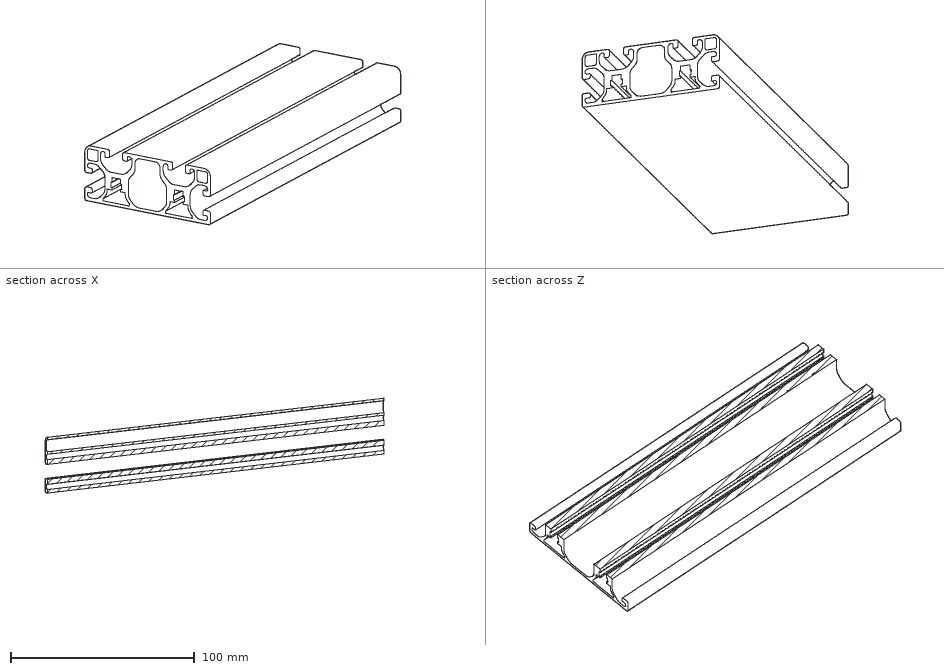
import cadquery as cq
import math

width = 80.0
length = 200.0
height = 32.0
skin = 1.8
top_corner_radius = 4.0
edge_radius = 0.2
bottom_corner_radius = 1.2

slot_mouth = 8.2
slot_inner_width = 20.0
slot_depth = 12.8
lip_depth = 4.8
lip_width = 3.0
lip_radius = 1.2
slot_bevel = 4.8
slot_bevel_radius = 4.5
hook_tip_radius = 0.5
hook_root_radius = 1.0
recess_radius = 1.8
mouth_clearance = 2.0
top_slot_x = 20.0
side_lip_z = 8.0
side_slot_z = side_lip_z + slot_mouth / 2

corner_hollow_size = 6.5
corner_hollow_radius = 1.2

center_top_half_width = 8.0
center_half_width = 12.2
center_bottom_half_width = 7.5
center_shoulder_low_z = 17.5
center_shoulder_high_z = 21.8
center_foot_z = 6.5
center_top_radius = 3.2
center_radius = 5.0

neck_width = 5.5
neck_half_width = neck_width / 2
groove_half_width = 3.5
ledge_half_width = 5.8
base_half_width = 8.5
channel_top_z = 16.2
groove_top_z = 13.5
groove_bottom_z = 10.5
ledge_z = 9.0
flare_z = 6.5
base_edge_z = 3.0
flare_radius = 4.0


def rounded_outline(corners):
    """Closed XZ outline from (x, z, radius) corners, with a tangent arc at each rounded corner."""
    pieces = []
    for i, (x, z, radius) in enumerate(corners):
        corner = cq.Vector(x, z)
        to_last = (cq.Vector(*corners[i - 1][:2]) - corner).normalized()
        to_next = (cq.Vector(*corners[(i + 1) % len(corners)][:2]) - corner).normalized()
        if radius == 0:
            pieces.append((corner, corner, corner))
            continue
        half_angle = to_last.getAngle(to_next) / 2
        setback = radius / math.tan(half_angle)
        bisector = (to_last + to_next).normalized()
        arc_middle = corner + bisector * (radius / math.sin(half_angle) - radius)
        pieces.append((corner + to_last * setback, arc_middle, corner + to_next * setback))

    outline = cq.Workplane("XZ").moveTo(pieces[0][2].x, pieces[0][2].y)
    for start, middle, end in pieces[1:] + pieces[:1]:
        outline = outline.lineTo(start.x, start.y)
        if start is not end:
            outline = outline.threePointArc((middle.x, middle.y), (end.x, end.y))
    return outline.close()


def prism(corners):
    """Full-length prism of a rounded outline, running along +Y."""
    return rounded_outline(corners).extrude(-length)


def symmetric_prism(center_x, half):
    """Prism whose right half is given as (offset, z, radius) corners from top to bottom."""
    right = [(center_x + u, z, r) for u, z, r in half]
    left = [(center_x - u, z, r) for u, z, r in reversed(half)]
    return prism(right + left)


def slot_cutter():
    """T-slot opening upward at the origin, with rounded lips, hook recesses and a bevelled floor."""
    mouth = slot_mouth / 2
    side = slot_inner_width / 2
    lip_back = mouth + lip_width
    return symmetric_prism(0, [
        (mouth + mouth_clearance, mouth_clearance, 0),
        (mouth + mouth_clearance, 0, 0),
        (mouth, 0, lip_radius),
        (mouth, -lip_depth, lip_radius),
        (lip_back, -lip_depth, hook_tip_radius),
        (lip_back, -skin, hook_root_radius),
        (side, -skin, recess_radius),
        (side, slot_bevel - slot_depth, slot_bevel_radius),
        (side - slot_bevel, -slot_depth, slot_bevel_radius),
    ])


def corner_hollow():
    """Rounded square hollow in the top left corner."""
    right = skin + corner_hollow_size
    top = height - skin
    bottom = top - corner_hollow_size
    return prism([
        (skin, top, corner_hollow_radius),
        (right, top, edge_radius),
        (right, bottom, corner_hollow_radius),
        (skin, bottom, corner_hollow_radius),
    ])


def stepped_channel():
    """Channel with side grooves that widens down to the bottom wall."""
    return symmetric_prism(top_slot_x, [
        (neck_half_width, channel_top_z, edge_radius),
        (neck_half_width, groove_top_z, 0),
        (groove_half_width, groove_top_z, edge_radius),
        (groove_half_width, groove_bottom_z, edge_radius),
        (neck_half_width, groove_bottom_z, 0),
        (neck_half_width, ledge_z, edge_radius),
        (ledge_half_width, ledge_z, edge_radius),
        (ledge_half_width, flare_z, flare_radius),
        (base_half_width, base_edge_z, 0),
        (base_half_width, skin, edge_radius),
    ])


def center_hollow():
    """Large hollow between the two top slots."""
    return symmetric_prism(width / 2, [
        (center_top_half_width, height - skin, center_top_radius),
        (center_top_half_width, center_shoulder_high_z, center_radius),
        (center_half_width, center_shoulder_low_z, center_radius),
        (center_half_width, center_foot_z, center_radius),
        (center_bottom_half_width, skin, center_radius),
    ])


body = prism([
    (0, 0, bottom_corner_radius),
    (0, height, top_corner_radius),
    (width, height, top_corner_radius),
    (width, 0, bottom_corner_radius),
])

top_slot = slot_cutter().translate((top_slot_x, 0, height))
side_slot = slot_cutter().rotate((0, 0, 0), (0, 1, 0), -90).translate((0, 0, side_slot_z))

result = body.cut(center_hollow())
for cavity in (top_slot, side_slot, corner_hollow(), stepped_channel()):
    result = result.cut(cavity)
    result = result.cut(cavity.mirror("YZ", (width / 2, 0, 0)))